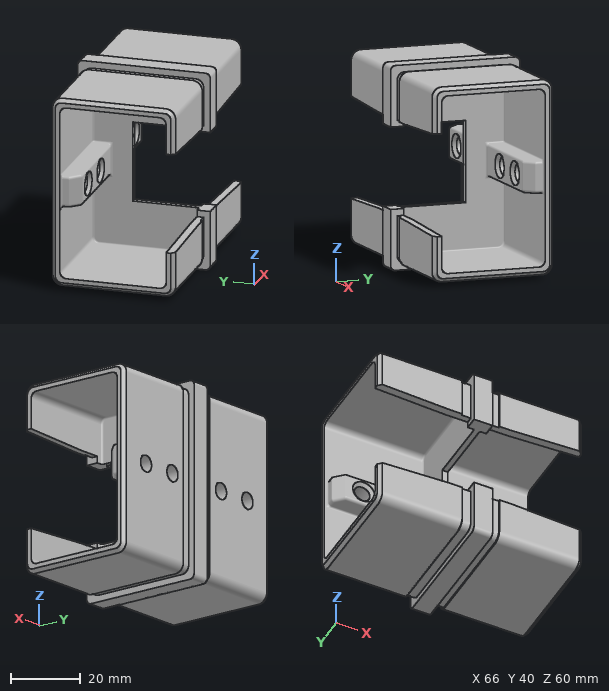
import cadquery as cq

length = 66.0
collar_depth = 40.0
collar_height = 60.0

collar_width = 6.0
collar_corner = 1.5

tube_depth = 37.0
tube_height = 57.0
tube_corner = 3.0
wall = 2.5
cavity_corner = 2.0
end_chamfer = 1.1
neck_width = 12.0
neck_step = 0.5

web_thickness = 1.8
root_fillet = 0.6

notch_height = 24.0
notch_floor = 16.0
slot_mid_height = 28.0
slot_end_height = 29.95
slot_straight = 20.05

rail_height = 9.6
rail_depth = 5.5
rail_end_gap = 1.2
rail_slope = 3.0
rail_slope_fillet = 0.5
rail_edge_fillet = 1.0

hole_positions = (11.0, 23.0)
hole_diameter = 5.0
countersink_diameter = 7.1
countersink_slope = 45

back_inner = tube_depth / 2 - wall
rail_face = back_inner - rail_depth
rail_root = back_inner + wall / 2
sides = (-1, 1)
tolerance = 0.03


def rounded_bar(width, depth, height, corner):
    """Block centred on the origin with rounded edges along X."""
    return cq.Workplane("XY").box(width, depth, height).edges("|X").fillet(corner)


def outer_body():
    """Tube with chamfered ends, a neck groove and a raised collar."""
    tube = rounded_bar(length, tube_depth, tube_height, tube_corner)
    tube = tube.faces("<X or >X").chamfer(end_chamfer)
    neck = rounded_bar(neck_width, tube_depth - 2 * neck_step,
                       tube_height - 2 * neck_step, tube_corner - neck_step)
    sleeve = cq.Workplane("XY").box(neck_width, collar_depth, collar_height)
    collar = rounded_bar(collar_width, collar_depth, collar_height, collar_corner)
    return tube.cut(sleeve).union(neck).union(collar)


def rail(side):
    """Sharp-edged bar along the +Y wall with a softened slope at the tube mouth."""
    end = side * (length / 2 - rail_end_gap)
    slope_start = end - side * rail_slope
    profile = [
        (0, rail_root),
        (end, rail_root),
        (end, rail_face + rail_slope),
        (slope_start, rail_face),
        (0, rail_face),
    ]
    bar = cq.Workplane("XY").polyline(profile).close().extrude(rail_height / 2, both=True)
    for x, y in profile[2:4]:
        bar = bar.edges(cq.NearestToPointSelector((x, y, 0))).fillet(rail_slope_fillet)
    return bar


def cavity(side):
    """Hollow on one side of the web, leaving the rail in and rounding its edges and roots."""
    depth = (length - web_thickness) / 2
    centre = side * (web_thickness + depth) / 2
    hollow = rounded_bar(depth, tube_depth - 2 * wall, tube_height - 2 * wall, cavity_corner)
    hollow = hollow.translate((centre, 0, 0)).cut(rail(side))

    web_edges = hollow.faces("<X" if side > 0 else ">X").edges()
    rail_foot = hollow.faces(">Y").edges().filter(is_rail_foot)
    hollow = hollow.newObject(web_edges.vals() + rail_foot.vals()).fillet(root_fillet)

    return hollow.edges().filter(is_rail_rim).fillet(rail_edge_fillet)


def is_rail_foot(edge):
    """True for edges around the rail, short of the tube mouth and clear of the web."""
    middle = edge.Center()
    near_rail = abs(middle.z) < rail_height / 2 + tolerance
    return near_rail and web_thickness < abs(middle.x) < length / 2 - tolerance


def is_rail_rim(edge):
    """True for the long upper and lower edges of the rail, above the root fillet."""
    middle = edge.Center()
    on_side_face = abs(abs(middle.z) - rail_height / 2) < tolerance
    clear_of_web = abs(middle.x) > web_thickness / 2 + root_fillet + tolerance
    return on_side_face and clear_of_web and middle.y < back_inner - root_fillet - tolerance


def mouth_slot():
    """Opening through the -Y wall, straight near the collar and flaring to both ends."""
    outline = [(-length / 2, slot_end_height / 2), (-slot_straight / 2, slot_mid_height / 2)]
    outline += [(-x, z) for x, z in reversed(outline)]
    outline += [(x, -z) for x, z in reversed(outline)]
    wall_inside = cq.Workplane("XZ", origin=(0, wall - tube_depth / 2, 0))
    slot = wall_inside.polyline(outline).close().extrude(wall)
    collar_zone = cq.Workplane("XY").box(collar_width, collar_depth, collar_height)
    return slot.cut(collar_zone)


def web_notch():
    """Rectangular notch through the collar and web, open towards -Y."""
    depth = collar_depth - notch_floor
    centre = -notch_floor / 2
    return cq.Workplane("XY").box(collar_width, depth, notch_height).translate((0, centre, 0))


def screw_holes():
    """Countersunk holes through the rails and the +Y wall."""
    places = [(side * x, 0) for side in sides for x in hole_positions]
    drill = cq.Workplane("XZ").pushPoints(places).circle(hole_diameter / 2).extrude(-collar_depth)
    sink_depth = (countersink_diameter - hole_diameter) / 2
    sink = (
        cq.Workplane("XZ", origin=(0, rail_face, 0))
        .pushPoints(places)
        .circle(countersink_diameter / 2)
        .extrude(-sink_depth, taper=countersink_slope)
    )
    return drill.union(sink)


result = outer_body()
for side in sides:
    result = result.cut(cavity(side))
result = result.cut(mouth_slot()).cut(web_notch()).cut(screw_holes())